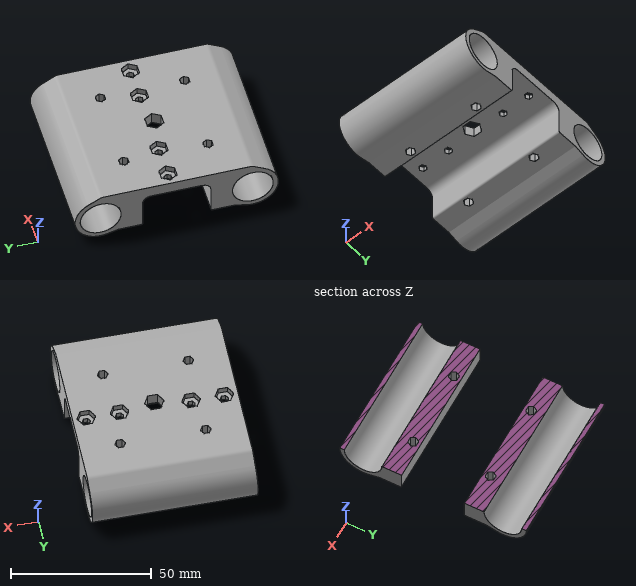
import cadquery as cq
import math

length_x = 60.0
width_y = 74.9
height = 20.45

tube_radius = 9.4
tube_offset_y = width_y / 2 - tube_radius
bore_radius = 7.5

shoulder_angle = 30
shoulder_radius = 3.0
heel_angle = 15

channel_half_width = 12.5
channel_ceiling_z = 15.65
channel_radius = 3.0
foot_z = 1.4
foot_corner_radius = 0.75

motor_hole_size = 3.75
motor_hole_offset = 15.5
center_hole_size = 7.0
nut_size = 6.7
nut_depth = 2.5
bolt_hole_size = 3.0
bolt_x_positions = (12.95, 25.0)
bolt_row_y = 1.9


def tube_point(angle):
    """Point on the +Y tube's outside, with the angle measured from +Y toward +Z."""
    a = math.radians(angle)
    return (tube_offset_y + tube_radius * math.cos(a), tube_radius + tube_radius * math.sin(a))


def slope_end_y(angle, z):
    """Y at which the tangent line sloping by the given angle reaches height z."""
    a = math.radians(angle)
    rise = abs(z - tube_radius)
    return tube_offset_y + (tube_radius - rise * math.cos(a)) / math.sin(a)


def carriage_body():
    """The profile of the +Y half, mirrored to the -Y side and extruded along X."""
    shoulder_y = slope_end_y(shoulder_angle, height)
    heel_y = 2 * tube_offset_y - slope_end_y(heel_angle, foot_z)
    body = (
        cq.Workplane("YZ")
        .moveTo(0, height)
        .lineTo(shoulder_y, height)
        .lineTo(*tube_point(90 - shoulder_angle))
        .threePointArc(tube_point(0), tube_point(-90 - heel_angle))
        .lineTo(heel_y, foot_z)
        .lineTo(channel_half_width, foot_z)
        .lineTo(channel_half_width, channel_ceiling_z)
        .lineTo(0, channel_ceiling_z)
        .mirrorY()
        .extrude(length_x / 2, both=True)
    )
    body = round_edge_pair(body, shoulder_y, height, shoulder_radius)
    body = round_edge_pair(body, channel_half_width, channel_ceiling_z, channel_radius)
    return round_edge_pair(body, channel_half_width, foot_z, foot_corner_radius)


def round_edge_pair(body, y, z, radius):
    """Fillet the two edges that run along X at height z, at +y and -y."""
    for edge_y in (-y, y):
        body = body.edges(cq.selectors.NearestToPointSelector((0, edge_y, z))).fillet(radius)
    return body


def rod_bores():
    """Through bores for the two rods, along X."""
    return (
        cq.Workplane("YZ")
        .pushPoints([(-tube_offset_y, tube_radius), (tube_offset_y, tube_radius)])
        .circle(bore_radius)
        .extrude(length_x, both=True)
    )


def hex_holes(points, size, depth):
    """Hexagonal cutters reaching down from the top face, with corners along X."""
    return (
        cq.Workplane("XY")
        .workplane(offset=height)
        .pushPoints(points)
        .polygon(6, size)
        .extrude(-depth)
    )


motor_points = [(sx * motor_hole_offset, sy * motor_hole_offset) for sx in (-1, 1) for sy in (-1, 1)]
bolt_points = [(sx * x, bolt_row_y) for sx in (-1, 1) for x in bolt_x_positions]

result = (
    carriage_body()
    .cut(rod_bores())
    .cut(hex_holes(motor_points, motor_hole_size, height))
    .cut(hex_holes([(0, 0)], center_hole_size, height))
    .cut(hex_holes(bolt_points, bolt_hole_size, height))
    .cut(hex_holes(bolt_points, nut_size, nut_depth))
)